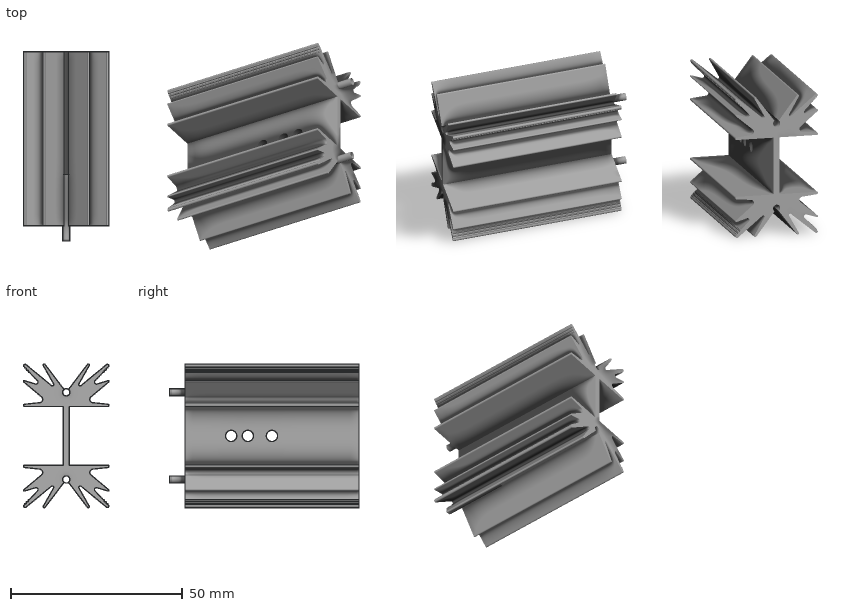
import cadquery as cq
import math

part_length = 55.3
body_length = 50.8

web_thickness = 1.75
web_height = 17.05
web_hole_diameter = 3.2
web_hole_offsets = [0, 7.0, 11.9]

pin_diameter = 2.15
pin_bore_diameter = 2.05
pin_spacing = 25.45
pin_protrusion = part_length - body_length
pin_depth = 15.05
pin_tip_length = 0.4
pin_tip_reduction = 0.03

ridge_count = 3
ridge_pitch = 0.6
ridge_height = 0.195
ridge_projection = 0.14
lowest_ridge = 18.5

flange_tip_radius = 0.375
side_tip_radius = 0.245
corner_tip_radius = 0.43
top_tip_radius = 0.35
wide_root_radius = 0.95
side_root_radius = 0.55
top_root_radius = 0.4

ridge_gap = ridge_pitch - ridge_height
front = -body_length / 2
pin_height = pin_spacing / 2

side_root = (6.95, 14.55)
corner_tip = (17.15, 25.25)


def flank_x(z):
    """X of the straight flank of the corner fin at height z."""
    share = (z - side_root[1]) / (corner_tip[1] - side_root[1])
    return side_root[0] + share * (corner_tip[0] - side_root[0])


def grip_corners():
    """Square grip ridges on the flank, with upright walls between them, from the lowest up."""
    corners = []
    for index in range(ridge_count):
        bottom = lowest_ridge + index * ridge_pitch
        top = bottom + ridge_height
        crest = flank_x(bottom + ridge_height / 2) + ridge_projection
        wall_below = flank_x(bottom if index == 0 else bottom - ridge_gap / 2)
        wall_above = flank_x(top if index == ridge_count - 1 else top + ridge_gap / 2)
        corners += [
            (wall_below, bottom, 0),
            (crest, bottom, 0),
            (crest, top, 0),
            (wall_above, top, 0),
        ]
    return corners


fin_corners = [
    (0, 0, 0),
    (web_thickness / 2, 0, 0),
    (web_thickness / 2, web_height / 2, 0),
    (19.35, web_height / 2, flange_tip_radius),
    (5.55, 9.95, wide_root_radius),
    (13.3, 16.5, side_tip_radius),
    (*side_root, side_root_radius),
    *grip_corners(),
    (*corner_tip, corner_tip_radius),
    (2.7, 13.4, top_root_radius),
    (9.1, 24.8, top_tip_radius),
    (0, pin_height, 0),
]


def toward(start, end, distance):
    """Point on the line from start to end, at the given distance from start."""
    length = math.dist(start, end)
    return tuple(s + (e - s) * distance / length for s, e in zip(start, end))


def rounded_outline(corners):
    """Closed outline with a tangent arc of the given radius at each corner."""
    outline = cq.Workplane("XZ").moveTo(*corners[0][:2])
    for before, corner, after in zip(corners, corners[1:], corners[2:]):
        point = corner[:2]
        radius = corner[2]
        if radius == 0:
            outline = outline.lineTo(*point)
            continue
        unit_before = toward(point, before[:2], 0.55)
        unit_after = toward(point, after[:2], 0.55)
        half_angle = math.asin(math.dist(unit_before, unit_after) / 1.1)
        setback = radius / math.tan(half_angle)
        bisector = tuple((b + a) / 2 for b, a in zip(unit_before, unit_after))
        arc_middle = toward(point, bisector, radius / math.sin(half_angle) - radius)
        outline = outline.lineTo(*toward(point, before[:2], setback))
        outline = outline.threePointArc(arc_middle, toward(point, after[:2], setback))
    return outline.lineTo(*corners[-1][:2]).close()


def make_body():
    """Body mirrored left to right and top to bottom from one quarter."""
    quarter = rounded_outline(fin_corners).extrude(body_length / 2, both=True)
    half = quarter.union(quarter.mirror("YZ"))
    return half.union(half.mirror("XY"))


def y_cylinder(diameter, y_start, y_end, z):
    """Cylinder along Y on the symmetry plane at height z."""
    plane = cq.Workplane("XZ", origin=(0, y_start, z))
    return plane.circle(diameter / 2).extrude(y_start - y_end)


def make_pin(z):
    """Tubular pin at height z, with a slightly tapered tip in front of the body."""
    tip = front - pin_protrusion
    pin = y_cylinder(pin_diameter, tip, front + pin_depth, z)
    pin = pin.faces("<Y").chamfer(pin_tip_length, pin_tip_reduction)
    return pin.cut(y_cylinder(pin_bore_diameter, tip, front + pin_depth, z))


result = make_body()

for z in (pin_height, -pin_height):
    result = result.cut(y_cylinder(pin_diameter, front, -front, z))
    result = result.union(make_pin(z))

web_holes = (
    cq.Workplane("YZ")
    .pushPoints([(-offset, 0) for offset in web_hole_offsets])
    .circle(web_hole_diameter / 2)
    .extrude(web_thickness, both=True)
)
result = result.cut(web_holes)